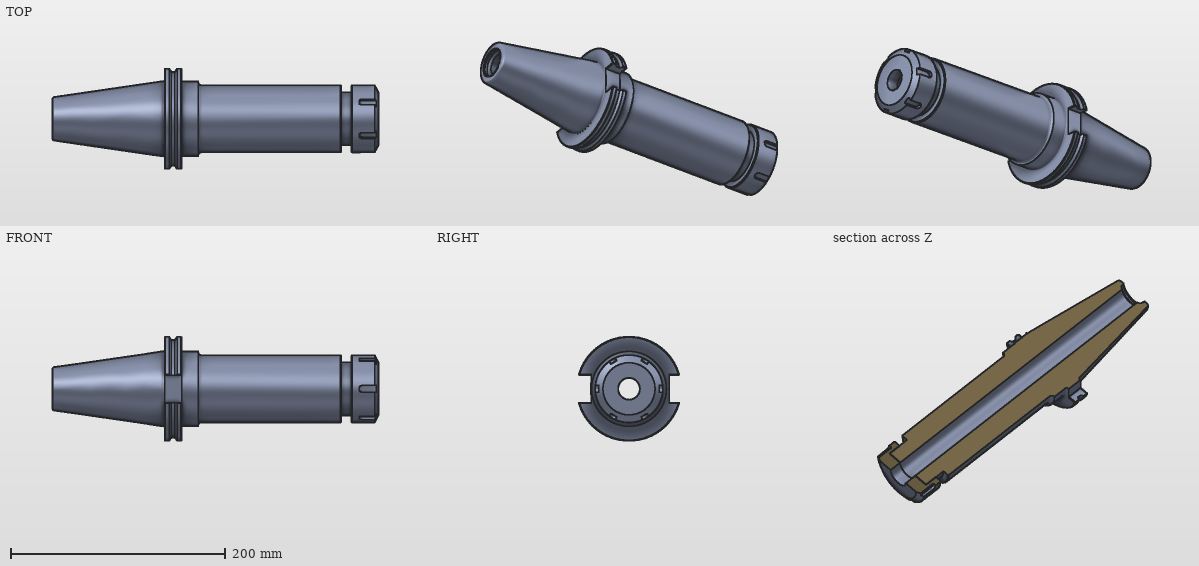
import cadquery as cq
import math


TOTAL_LENGTH = 304.8

TAPER_END_DIAMETER = 70.0
TAPER_END_X = 102.0
TAPER_RADIUS_PER_LENGTH = 7 / 48
SMALL_END_FILLET = 2.5

FLANGE_DIAMETER = 97.5
FLANGE_START_X = 105.0
FLANGE_END_X = 120.7
FLANGE_EDGE_CHAMFER = 0.5
FLANGE_ROOT_FILLET = 1.0
GROOVE_DEPTH = 3.0
GROOVE_FLOOR_WIDTH = 3.5
GROOVE_MOUTH_WIDTH = 7.5

SLOT_WIDTH = 25.5
FRONT_SLOT_FLOOR = 35.5
REAR_SLOT_FLOOR = 37.8

COLLAR_DIAMETER = 70.0
COLLAR_END_X = 136.3
SHANK_DIAMETER = 63.0
SHANK_ROOT_FILLET = 2.7
SHANK_END_X = 270.0
SHANK_END_CHAMFER = 1.0
NOSE_DIAMETER = 50.0
NOSE_END_X = 292.5

BORE_DIAMETER = 20.0
ENTRANCE_DIAMETER = 28.5
PILOT_DIAMETER = 26.8
SHOULDER_DIAMETER = 23.8
PILOT_START_X = 1.2
PILOT_END_X = 3.7
SHOULDER_X = 5.0
BORE_START_X = 5.8

NUT_DIAMETER = SHANK_DIAMETER
NUT_START_X = 279.2
NUT_REAR_CHAMFER = 1.0
NUT_CONE_START_X = 301.2
NUT_FACE_DIAMETER = 48.8
NUT_SLOT_COUNT = 6
NUT_SLOT_WIDTH = 6.5
NUT_SLOT_DEPTH = 3.0
NUT_SLOT_START_X = 286.5


def revolve_about_x(profile):
    """Close an XY profile and turn it, with Y as the radius, once round the X axis."""
    return profile.close().revolve(360, (0, 0, 0), (1, 0, 0))


def turned_blank():
    """Outside of the holder, from the small end of the taper to the nose."""
    small_end_radius = TAPER_END_DIAMETER / 2 - TAPER_END_X * TAPER_RADIUS_PER_LENGTH
    flange_radius = FLANGE_DIAMETER / 2
    shank_radius = SHANK_DIAMETER / 2
    taper_end_radius = TAPER_END_DIAMETER / 2
    collar_radius = COLLAR_DIAMETER / 2
    blank = revolve_about_x(
        cq.Workplane("XY")
        .moveTo(0, 0)
        .lineTo(0, small_end_radius)
        .lineTo(TAPER_END_X, taper_end_radius)
        .lineTo(FLANGE_START_X - FLANGE_ROOT_FILLET, taper_end_radius)
        .radiusArc((FLANGE_START_X, taper_end_radius + FLANGE_ROOT_FILLET), -FLANGE_ROOT_FILLET)
        .lineTo(FLANGE_START_X, flange_radius)
        .lineTo(FLANGE_END_X, flange_radius)
        .lineTo(FLANGE_END_X, collar_radius + FLANGE_ROOT_FILLET)
        .radiusArc((FLANGE_END_X + FLANGE_ROOT_FILLET, collar_radius), -FLANGE_ROOT_FILLET)
        .lineTo(COLLAR_END_X, collar_radius)
        .lineTo(COLLAR_END_X, shank_radius + SHANK_ROOT_FILLET)
        .radiusArc((COLLAR_END_X + SHANK_ROOT_FILLET, shank_radius), -SHANK_ROOT_FILLET)
        .lineTo(SHANK_END_X - SHANK_END_CHAMFER, shank_radius)
        .lineTo(SHANK_END_X, shank_radius - SHANK_END_CHAMFER)
        .lineTo(SHANK_END_X, NOSE_DIAMETER / 2)
        .lineTo(NOSE_END_X, NOSE_DIAMETER / 2)
        .lineTo(NOSE_END_X, 0)
    )
    return blank.faces("<X").edges().fillet(SMALL_END_FILLET)


def gripper_groove():
    """Ring with sloping flanks round the middle of the flange."""
    middle_x = (FLANGE_START_X + FLANGE_END_X) / 2
    rim_radius = FLANGE_DIAMETER / 2
    floor_radius = rim_radius - GROOVE_DEPTH
    half_floor = GROOVE_FLOOR_WIDTH / 2
    half_mouth = GROOVE_MOUTH_WIDTH / 2
    return revolve_about_x(
        cq.Workplane("XY")
        .moveTo(middle_x - half_mouth, rim_radius)
        .lineTo(middle_x - half_floor, floor_radius)
        .lineTo(middle_x + half_floor, floor_radius)
        .lineTo(middle_x + half_mouth, rim_radius)
    )


def driving_slot(side, floor_distance):
    """Square slot across the flange rim; side is -1 for -Y and +1 for +Y."""
    depth = FLANGE_DIAMETER / 2 - floor_distance
    length = FLANGE_END_X - FLANGE_START_X
    return cq.Workplane("XY").box(length, depth, SLOT_WIDTH).translate(
        ((FLANGE_START_X + FLANGE_END_X) / 2, side * (floor_distance + depth / 2), 0)
    )


def stepped_bore():
    """Through bore with the chamfered pilot and coned shoulder at the small end."""
    return revolve_about_x(
        cq.Workplane("XY")
        .moveTo(0, 0)
        .lineTo(0, ENTRANCE_DIAMETER / 2)
        .lineTo(PILOT_START_X, PILOT_DIAMETER / 2)
        .lineTo(PILOT_END_X, PILOT_DIAMETER / 2)
        .lineTo(SHOULDER_X, SHOULDER_DIAMETER / 2)
        .lineTo(BORE_START_X, BORE_DIAMETER / 2)
        .lineTo(TOTAL_LENGTH, BORE_DIAMETER / 2)
        .lineTo(TOTAL_LENGTH, 0)
    )


def is_flange_outer_edge(edge):
    """True for an edge of the flange rim or of a slot wall, but not of a slot floor."""
    middle = edge.positionAt(0.5)
    on_flange = FLANGE_START_X <= round(middle.x, 3) <= FLANGE_END_X
    floor_corner_radius = math.hypot(REAR_SLOT_FLOOR, SLOT_WIDTH / 2)
    return on_flange and math.hypot(middle.y, middle.z) > floor_corner_radius + FLANGE_EDGE_CHAMFER


def make_holder():
    """Taper holder with its slots, eased flange edges, groove and bore."""
    slotted = (
        turned_blank()
        .cut(driving_slot(-1, FRONT_SLOT_FLOOR))
        .cut(driving_slot(1, REAR_SLOT_FLOOR))
    )
    eased = slotted.edges().filter(is_flange_outer_edge).chamfer(FLANGE_EDGE_CHAMFER)
    return eased.cut(gripper_groove()).cut(stepped_bore())


def nut_ring():
    """Nut with a recess for the nose, the bore through its front wall and a coned front."""
    nut_radius = NUT_DIAMETER / 2
    return revolve_about_x(
        cq.Workplane("XY")
        .moveTo(NUT_START_X, NOSE_DIAMETER / 2)
        .lineTo(NUT_START_X, nut_radius - NUT_REAR_CHAMFER)
        .lineTo(NUT_START_X + NUT_REAR_CHAMFER, nut_radius)
        .lineTo(NUT_CONE_START_X, nut_radius)
        .lineTo(TOTAL_LENGTH, NUT_FACE_DIAMETER / 2)
        .lineTo(TOTAL_LENGTH, BORE_DIAMETER / 2)
        .lineTo(NOSE_END_X, BORE_DIAMETER / 2)
        .lineTo(NOSE_END_X, NOSE_DIAMETER / 2)
    )


def nut_slot(angle):
    """Flat-floored spanner slot with a round blind end, open at the front of the nut."""
    half_width = NUT_SLOT_WIDTH / 2
    floor_distance = NUT_DIAMETER / 2 - NUT_SLOT_DEPTH
    round_x = NUT_SLOT_START_X + half_width
    return (
        cq.Workplane("XZ", origin=(0, -floor_distance, 0))
        .moveTo(TOTAL_LENGTH, -half_width)
        .lineTo(round_x, -half_width)
        .threePointArc((NUT_SLOT_START_X, 0), (round_x, half_width))
        .lineTo(TOTAL_LENGTH, half_width)
        .close()
        .extrude(NUT_SLOT_DEPTH)
        .rotate((0, 0, 0), (1, 0, 0), angle)
    )


def make_nut():
    """Clamping nut with spanner slots evenly spaced round it."""
    nut = nut_ring()
    for index in range(NUT_SLOT_COUNT):
        nut = nut.cut(nut_slot(index * 360 / NUT_SLOT_COUNT))
    return nut


holder = make_holder()
nut = make_nut()

result = cq.Compound.makeCompound([holder.val(), nut.val()])